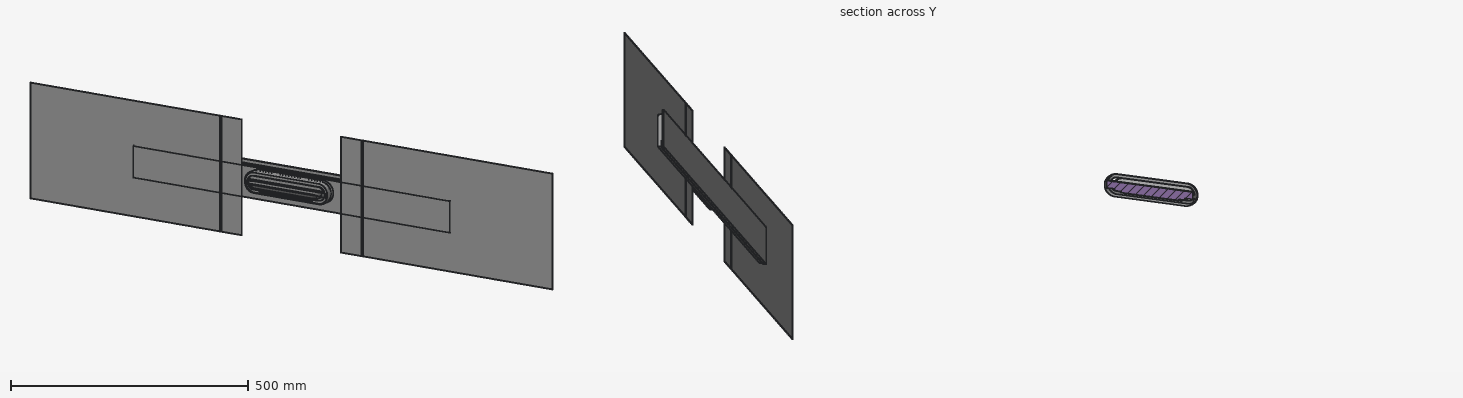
import cadquery as cq


overall_length = 1314.0
panel_height = 254.0
panel_inner_x = 180.0
panel_thickness = 0.7
strip_outer_x = 176.0
strip_inner_x = 125.0
strip_thickness = 0.9

plate_length = 800.0
plate_top_z = 37.5
plate_bottom_z = -45.0
plate_thickness = 3.0
body_length = 796.0
body_top_z = 29.5
body_bottom_z = -42.0
body_depth = 11.0
body_chamfer = 3.0
lip_top_z = -30.0
lip_length = 799.0
lip_depth = 3.3

housing_length = 210.0
housing_height = 47.0
housing_depth = 22.0
housing_fillet = 3.5
housing_wall = 2.0
housing_floor = 5.9
rim_width = 8.5

flange_length = 200.0
flange_thickness = 3.3
flange_top_z = 10.0
shelf_top_z = 3.0
shelf_bottom_z = -7.0
blade_length = 179.0
blade_corner_radius = 16.0
tip_top_z = 9.0
tip_bottom_z = 3.0
bend_z = -3.0
bend_setback = 9.0
heel_length = 163.0
heel_bottom_z = -10.0
heel_setback = 13.0
root_length = 134.0
root_bottom_z = -13.0
root_setback = 16.0
apron_bottom_z = -18.0
overall_depth = 54.0

rail_depth = plate_thickness + body_depth
housing_front = rail_depth + housing_depth
cavity_back = rail_depth + housing_floor
cavity_front = housing_front - housing_wall


def block(x_min, x_max, depth_back, depth_front, z_min, z_max):
    """Box between two X planes, two depths in front of Y = 0, and two Z planes."""
    size = (x_max - x_min, depth_front - depth_back, z_max - z_min)
    return cq.Workplane("XY").box(*size, centered=False).translate((x_min, -depth_front, z_min))


def centred_block(length, depth_back, depth_front, z_min, z_max):
    """Box centred on X = 0."""
    return block(-length / 2, length / 2, depth_back, depth_front, z_min, z_max)


def centred_profile(points, length):
    """Extrude (depth, Z) points along X, centred on X = 0."""
    outline = [(-depth, z) for depth, z in points]
    return cq.Workplane("YZ").polyline(outline).close().extrude(length / 2, both=True)


def obround(inset, depth_back, depth_front):
    """Housing outline moved inward by the inset, between two depths."""
    return (
        cq.Workplane("XZ", origin=(0, -depth_back, 0))
        .slot2D(housing_length - 2 * inset, housing_height - 2 * inset)
        .extrude(depth_front - depth_back)
    )


def make_sheet(side, inner_x, outer_x, thickness):
    """Full-height sheet on the front plane of the rail, on the side given by -1 or +1."""
    x_min, x_max = sorted((side * inner_x, side * outer_x))
    return block(
        x_min, x_max, rail_depth, rail_depth + thickness, -panel_height / 2, panel_height / 2
    )


def make_panel(side):
    return make_sheet(side, panel_inner_x, overall_length / 2, panel_thickness)


def make_strip(side):
    return make_sheet(side, strip_inner_x, strip_outer_x, strip_thickness)


def make_rail():
    plate = centred_block(plate_length, 0, plate_thickness, plate_bottom_z, plate_top_z)
    body = centred_block(body_length, plate_thickness, rail_depth, body_bottom_z, body_top_z)
    body = body.faces("<Y").edges(">Z").chamfer(body_chamfer)
    lip = centred_block(
        lip_length, plate_thickness, plate_thickness + lip_depth, plate_bottom_z, lip_top_z
    )
    return plate.union(body).union(lip)


def make_housing():
    cup = obround(0, rail_depth, housing_front).faces("<Y").edges().fillet(housing_fillet)
    cavity = obround(housing_wall, cavity_back, cavity_front)
    opening = obround(rim_width, cavity_back, housing_front)
    return cup.cut(cavity).cut(opening)


def make_lever():
    flange = centred_block(
        flange_length, cavity_back, cavity_back + flange_thickness, shelf_bottom_z, flange_top_z
    )
    shelf = centred_block(flange_length, cavity_back, cavity_front, shelf_bottom_z, shelf_top_z)

    tip = (overall_depth, tip_bottom_z)
    bend = (overall_depth - bend_setback, bend_z)
    heel_foot = (overall_depth - heel_setback, heel_bottom_z)

    blade = centred_profile(
        [
            (cavity_back, shelf_top_z),
            (cavity_front, shelf_top_z),
            (overall_depth, tip_top_z),
            tip,
            bend,
            (cavity_back, bend_z),
        ],
        blade_length,
    )
    blade = blade.faces("<Y").edges("|Z").fillet(blade_corner_radius)

    heel = centred_profile(
        [(cavity_back, bend_z), bend, heel_foot, (cavity_back, heel_bottom_z)], heel_length
    )

    root = centred_profile(
        [
            (cavity_back, heel_bottom_z),
            heel_foot,
            (overall_depth - root_setback, root_bottom_z),
            (housing_front, apron_bottom_z),
            (housing_front, root_bottom_z),
            (cavity_back, root_bottom_z),
        ],
        root_length,
    )
    return flange.union(shelf).union(blade).union(heel).union(root)


sides = (-1, 1)
panels = [make_panel(side) for side in sides]
strips = [make_strip(side) for side in sides]
rail = make_rail()
housing = make_housing()
lever = make_lever()

result = cq.Compound.makeCompound(
    [
        *[panel.val() for panel in panels],
        *[strip.val() for strip in strips],
        rail.val(),
        housing.val(),
        lever.val(),
    ]
)